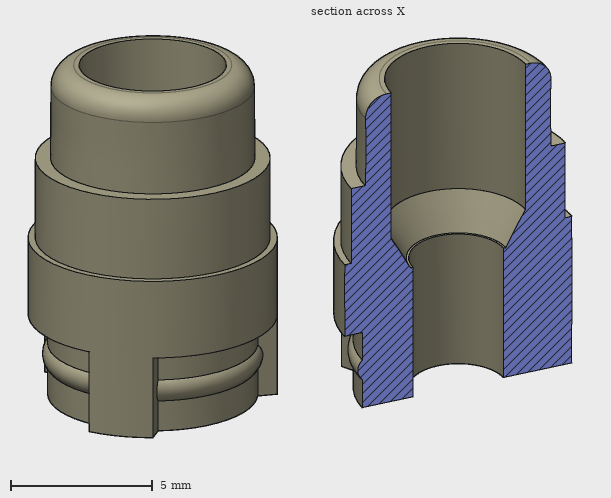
import cadquery as cq

total_height = 12.4
collar_diameter = 8.8
shoulder_diameter = 8.3
nose_base_diameter = 7.22
nose_diameter = 7.19
skirt_diameter = 7.43
skirt_height = 3.01
collar_top = 5.9
shoulder_top = 8.9
nose_rounding = 0.8

bore_diameter = 5.2
cone_end_diameter = 3.67
outlet_diameter = 3.5
cone_top = 6.57
cone_bottom = 5.21

tab_count = 3
tab_width = 2.33
first_tab_angle = -90.0

ring_diameter = 7.79
ring_height = 0.79
ring_middle = 1.53


def cylinder(diameter, bottom, top):
    return cq.Workplane("XY").workplane(offset=bottom).circle(diameter / 2).extrude(top - bottom)


def make_nose():
    """Slightly tapered nose with a rounded top rim."""
    return (
        cq.Workplane("XZ")
        .moveTo(0, shoulder_top)
        .lineTo(nose_base_diameter / 2, shoulder_top)
        .lineTo(nose_diameter / 2, total_height - nose_rounding)
        .radiusArc((nose_diameter / 2 - nose_rounding, total_height), -nose_rounding)
        .lineTo(0, total_height)
        .close()
        .revolve(360, (0, 0, 0), (0, 1, 0))
    )


def make_tabs():
    """Parallel-sided tabs, trimmed to the round outside of the collar."""
    bars = cq.Workplane("XY")
    for index in range(tab_count):
        bar = cq.Workplane("XY").box(
            collar_diameter / 2, tab_width, skirt_height, centered=(False, True, False)
        )
        angle = first_tab_angle + index * 360 / tab_count
        bars = bars.add(bar.rotate((0, 0, 0), (0, 0, 1), angle))
    return bars.combine().intersect(cylinder(collar_diameter, 0, skirt_height))


def make_ring():
    """Ring around the skirt with a bulging arc for its outer profile."""
    return (
        cq.Workplane("XZ")
        .moveTo(outlet_diameter / 2, ring_middle - ring_height / 2)
        .lineTo(skirt_diameter / 2, ring_middle - ring_height / 2)
        .threePointArc(
            (ring_diameter / 2, ring_middle),
            (skirt_diameter / 2, ring_middle + ring_height / 2),
        )
        .lineTo(outlet_diameter / 2, ring_middle + ring_height / 2)
        .close()
        .revolve(360, (0, 0, 0), (0, 1, 0))
    )


def make_bore():
    """Straight inlet, cone, small ledge and narrower outlet."""
    return (
        cq.Workplane("XZ")
        .lineTo(outlet_diameter / 2, 0)
        .lineTo(outlet_diameter / 2, cone_bottom)
        .lineTo(cone_end_diameter / 2, cone_bottom)
        .lineTo(bore_diameter / 2, cone_top)
        .lineTo(bore_diameter / 2, total_height)
        .lineTo(0, total_height)
        .close()
        .revolve(360, (0, 0, 0), (0, 1, 0))
    )


skirt = cylinder(skirt_diameter, 0, skirt_height)
collar = cylinder(collar_diameter, skirt_height, collar_top)
shoulder = cylinder(shoulder_diameter, collar_top, shoulder_top)
body = skirt.union(collar).union(shoulder).union(make_nose())
result = body.union(make_ring()).union(make_tabs()).cut(make_bore())